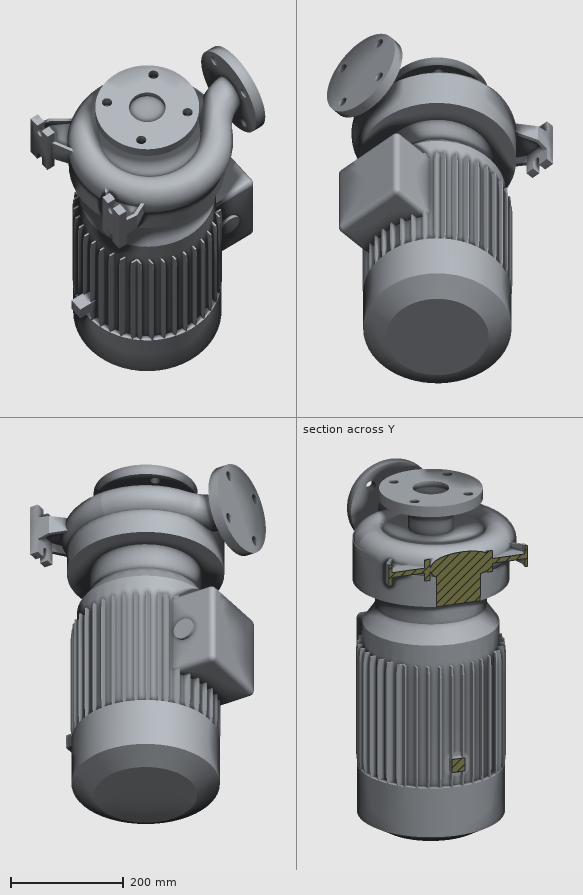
import math

import cadquery as cq


FLANGE_THICKNESS = 20
SUCTION_FACE_Z = 100
SUCTION_FLANGE_RADIUS = 92.5
SUCTION_BOLT_CIRCLE_RADIUS = 72.5
SUCTION_NECK_RADIUS = 40.5
SUCTION_BORE_RADIUS = 32.5
SUCTION_BORE_DEPTH = 11
DISCHARGE_FACE_Y = 200
DISCHARGE_FLANGE_RADIUS = 82.5
DISCHARGE_BOLT_CIRCLE_RADIUS = 62.5
BOLT_HOLE_RADIUS = 9
BOLT_COUNT = 4

CASING_RADIUS = 140
CASING_TOP_Z = 6
CASING_BOTTOM_Z = -73
COVER_RADIUS = 100
COVER_EDGE_Z = 19
COVER_TOP_Z = 24
TUBE_RADIUS = 32.5
VOLUTE_REACH_X = 152.9
TONGUE_ANGLE = 60
TONGUE_TUBE_RADIUS = 22
TONGUE_OFFSET = 112

ADAPTER_RADIUS = 99.5
ADAPTER_BOTTOM_Z = -122
BODY_RADIUS = 122
BODY_TOP_Z = -154
FIN_TOP_Z = -193
FIN_BOTTOM_Z = -423
FAN_COVER_RADIUS = 132
FAN_COVER_EDGE_Z = -516
FAN_COVER_END_RADIUS = 91.5
MOTOR_BOTTOM_Z = -539

FIN_TIP_RADIUS = 133.5
FIN_THICKNESS = 3
FIN_PITCH_ANGLE = 9
FINS_PER_QUADRANT = 10
FIN_END_RELIEF_DEPTH = 2
FIN_END_RELIEF_LENGTH = 18

BOX_WIDTH = 146
BOX_HEIGHT = 159
BOX_FACE_Y = 185
BOX_EDGE_RADIUS = 10
GLAND_RADIUS = 20
GLAND_LENGTH = 6
GLAND_Y = 126

FOOT_FACE_Y = -160
FOOT_THICKNESS = 16
FOOT_CENTER_X = 107.5
FOOT_WIDTH = 50
FOOT_HEIGHT = 100
SLOT_CENTER_X = 106
SLOT_RADIUS = 7
SLOT_STRAIGHT_LENGTH = 15
BRACKET_WALL = 6
BRACKET_FLOOR_Z = 5
BRACKET_SIDE_Y = -121
BRACKET_OUTER_ROOT = (98, -59)
BRACKET_INNER_ROOT = (30, -120)
BRACKET_HALF_HEIGHT_AT_FOOT = 22.5
BRACKET_TAPER = 0.185

LUG_SIZE = 26
LUG_FACE_Y = -158
LUG_CENTER_Z = -381


def cylinder_z(radius, bottom, top):
    return cq.Workplane("XY").workplane(offset=bottom).circle(radius).extrude(top - bottom)


def tube_arc(bend_radius, start_angle, sweep_angle, center_x=0, center_y=0):
    """Round tube bent about a vertical axis through (center_x, center_y)."""
    section = cq.Workplane("XZ").moveTo(bend_radius, 0).circle(TUBE_RADIUS)
    arc = section.revolve(sweep_angle, (0, 0), (0, 1))
    return arc.rotate((0, 0, 0), (0, 0, 1), start_angle).translate((center_x, center_y, 0))


def polar_point(radius, angle):
    return (radius * math.cos(math.radians(angle)), radius * math.sin(math.radians(angle)))


def tapered_start(inlet_radius):
    """Narrowing stretch of the volute, from the -X side round to the tongue at the outlet."""
    middle = polar_point((inlet_radius + TONGUE_OFFSET) / 2, (180 + TONGUE_ANGLE) / 2)
    end = polar_point(TONGUE_OFFSET, TONGUE_ANGLE)
    path = cq.Workplane("XY").moveTo(-inlet_radius, 0).threePointArc(middle, end)
    tangent = path.val().tangentAt(1)
    inward = (-end[0], -end[1], 0)
    end_plane = cq.Plane(origin=(end[0], end[1], 0), xDir=inward, normal=-tangent)
    large = cq.Workplane("XZ").moveTo(-inlet_radius, 0).circle(TUBE_RADIUS)
    small = cq.Workplane(end_plane).circle(TONGUE_TUBE_RADIUS)
    large.ctx.pendingWires.extend(small.ctx.pendingWires)
    return large.sweep(path, multisection=True)


def flange(radius, bolt_circle_radius):
    """Flange disc with its bolt holes straddling the centrelines, lying below Z = 0."""
    disc = cq.Workplane("XY").circle(radius).extrude(-FLANGE_THICKNESS)
    holes = (
        cq.Workplane("XY")
        .polarArray(bolt_circle_radius, 180 / BOLT_COUNT, 360, BOLT_COUNT)
        .circle(BOLT_HOLE_RADIUS)
        .extrude(-FLANGE_THICKNESS)
    )
    return disc.cut(holes)


def motor_and_casing():
    """Everything turned about the shaft, from the pump cover down to the fan cover."""
    profile = [
        (0, COVER_TOP_Z),
        (SUCTION_NECK_RADIUS, COVER_TOP_Z),
        (COVER_RADIUS, COVER_EDGE_Z),
        (COVER_RADIUS, CASING_TOP_Z),
        (CASING_RADIUS, CASING_TOP_Z),
        (CASING_RADIUS, CASING_BOTTOM_Z),
        (ADAPTER_RADIUS, CASING_BOTTOM_Z),
        (ADAPTER_RADIUS, ADAPTER_BOTTOM_Z),
        (BODY_RADIUS, BODY_TOP_Z),
        (BODY_RADIUS, FIN_BOTTOM_Z),
        (FAN_COVER_RADIUS, FIN_BOTTOM_Z),
        (FAN_COVER_RADIUS, FAN_COVER_EDGE_Z),
        (FAN_COVER_END_RADIUS, MOTOR_BOTTOM_Z),
        (0, MOTOR_BOTTOM_Z),
    ]
    return cq.Workplane("XZ").polyline(profile).close().revolve(360, (0, 0), (0, 1))


def volute():
    """Spiral tube: opens out round the casing, then bends back to the discharge axis."""
    outlet_radius = VOLUTE_REACH_X - TUBE_RADIUS
    inlet_radius = CASING_RADIUS - TUBE_RADIUS
    lower_radius = (outlet_radius + inlet_radius) / 2
    lower_center_x = (outlet_radius - inlet_radius) / 2
    turn = 2 * math.atan(outlet_radius / DISCHARGE_FACE_Y)
    bend_radius = outlet_radius * math.cos(turn) / (1 - math.cos(turn))
    turn_degrees = math.degrees(turn)

    start = tapered_start(inlet_radius)
    lower = tube_arc(lower_radius, 180, 180, lower_center_x)
    outlet = tube_arc(outlet_radius, 0, turn_degrees)
    bend = tube_arc(bend_radius, 180, turn_degrees, bend_radius, DISCHARGE_FACE_Y)
    return [start, lower, outlet, bend]


def suction_port():
    neck = cylinder_z(SUCTION_NECK_RADIUS, CASING_TOP_Z, SUCTION_FACE_Z)
    disc = flange(SUCTION_FLANGE_RADIUS, SUCTION_BOLT_CIRCLE_RADIUS)
    return neck.union(disc.translate((0, 0, SUCTION_FACE_Z)))


def discharge_flange():
    disc = flange(DISCHARGE_FLANGE_RADIUS, DISCHARGE_BOLT_CIRCLE_RADIUS)
    return disc.rotate((0, 0, 0), (1, 0, 0), -90).translate((0, DISCHARGE_FACE_Y, 0))


def fin(offset):
    """Blade pointing along +X at the given Y, with its tip eased back at both ends."""
    tip = math.sqrt(FIN_TIP_RADIUS**2 - (abs(offset) + FIN_THICKNESS / 2) ** 2)
    end_tip = tip - FIN_END_RELIEF_DEPTH
    root = math.sqrt(BODY_RADIUS**2 - offset**2) - FIN_THICKNESS
    profile = [
        (root, FIN_TOP_Z),
        (end_tip, FIN_TOP_Z),
        (tip, FIN_TOP_Z - FIN_END_RELIEF_LENGTH),
        (tip, FIN_BOTTOM_Z + FIN_END_RELIEF_LENGTH),
        (end_tip, FIN_BOTTOM_Z),
        (root, FIN_BOTTOM_Z),
    ]
    blade = cq.Workplane("XZ").polyline(profile).close().extrude(FIN_THICKNESS / 2, both=True)
    return blade.translate((0, offset, 0))


def fins():
    """Parallel blades pointing out along +X, +Y, -X and -Y, spaced by equal angles at the tips."""
    blades = []
    for index in range(FINS_PER_QUADRANT):
        angle = (index - (FINS_PER_QUADRANT - 1) / 2) * FIN_PITCH_ANGLE
        blade = fin(FIN_TIP_RADIUS * math.sin(math.radians(angle)))
        for quadrant in range(4):
            blades.append(blade.rotate((0, 0, 0), (0, 0, 1), 90 * quadrant))
    return blades


def terminal_box():
    center_z = FIN_TOP_Z - BOX_HEIGHT / 2
    box = (
        cq.Workplane("XY")
        .box(BOX_WIDTH, BOX_FACE_Y, BOX_HEIGHT, centered=(True, False, True))
        .edges("|Y or >Y")
        .fillet(BOX_EDGE_RADIUS)
        .translate((0, 0, center_z))
    )
    gland = (
        cq.Workplane("YZ")
        .center(GLAND_Y, center_z)
        .circle(GLAND_RADIUS)
        .extrude(BOX_WIDTH / 2 + GLAND_LENGTH)
    )
    return box.union(gland)


def foot_plate():
    """Foot plate on the +X side, with a mounting slot open at its top and bottom ends."""
    plate = cq.Workplane("XY").box(FOOT_WIDTH, FOOT_THICKNESS, FOOT_HEIGHT)
    plate = plate.translate((FOOT_CENTER_X, FOOT_FACE_Y + FOOT_THICKNESS / 2, 0))
    for side in (-1, 1):
        end_z = side * FOOT_HEIGHT / 2
        slot = (
            cq.Workplane("XZ", origin=(SLOT_CENTER_X, FOOT_FACE_Y, end_z))
            .slot2D(2 * (SLOT_STRAIGHT_LENGTH + SLOT_RADIUS), 2 * SLOT_RADIUS, 90)
            .extrude(-FOOT_THICKNESS)
        )
        plate = plate.cut(slot)
    return plate


def foot_bracket():
    """Tapered bracket from the +X foot plate into the casing, hollowed from above and below."""
    back_y = FOOT_FACE_Y + FOOT_THICKNESS
    outer_x = FOOT_CENTER_X + FOOT_WIDTH / 2
    inner_x = FOOT_CENTER_X - FOOT_WIDTH / 2
    seat_y = back_y - BRACKET_WALL
    outline = [
        (inner_x, seat_y),
        (outer_x, seat_y),
        (outer_x, BRACKET_SIDE_Y),
        BRACKET_OUTER_ROOT,
        BRACKET_INNER_ROOT,
    ]
    inset = cq.Workplane("XY").polyline(outline).close().offset2D(-BRACKET_WALL)
    pocket = inset.extrude(FOOT_HEIGHT)
    blank = cq.Workplane("XY").polyline(outline).close().extrude(FOOT_HEIGHT / 2, both=True)

    seat_half = BRACKET_HALF_HEIGHT_AT_FOOT + BRACKET_TAPER * BRACKET_WALL
    root_y = BRACKET_OUTER_ROOT[1]
    root_half = seat_half - BRACKET_TAPER * (root_y - seat_y)
    side_profile = [
        (seat_y, -seat_half),
        (seat_y, seat_half),
        (root_y, root_half),
        (root_y, -root_half),
    ]
    wedge = cq.Workplane("YZ").polyline(side_profile).close().extrude(CASING_RADIUS)
    bracket = blank.intersect(wedge)
    bracket = bracket.cut(pocket.translate((0, 0, BRACKET_FLOOR_Z)))
    return bracket.cut(pocket.translate((0, 0, -BRACKET_FLOOR_Z - FOOT_HEIGHT)))


def support_lug():
    lug = cq.Workplane("XY").box(LUG_SIZE, -LUG_FACE_Y, LUG_SIZE, centered=(True, False, True))
    return lug.translate((0, LUG_FACE_Y, LUG_CENTER_Z))


result = motor_and_casing()
for blade in fins():
    result = result.union(blade)
for tube in volute():
    result = result.union(tube)
result = result.union(suction_port()).union(discharge_flange())
result = result.union(terminal_box()).union(support_lug())
for foot_part in (foot_plate(), foot_bracket()):
    result = result.union(foot_part).union(foot_part.mirror("YZ"))
suction_bore = cylinder_z(SUCTION_BORE_RADIUS, SUCTION_FACE_Z - SUCTION_BORE_DEPTH, SUCTION_FACE_Z)
result = result.cut(suction_bore)